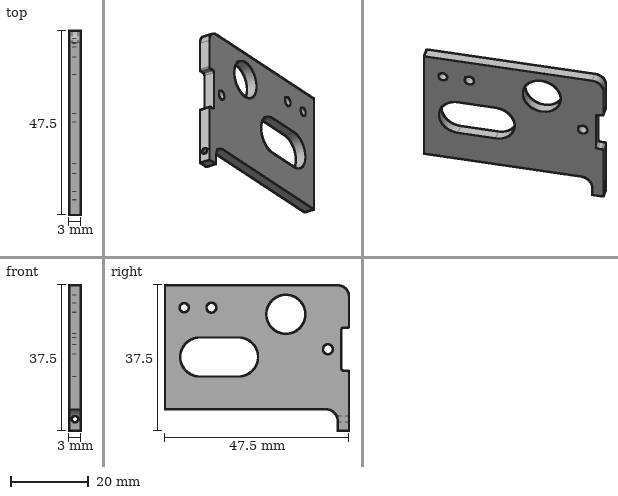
import cadquery as cq

thickness = 3.0
length = 47.5
height = 37.5

leg_width = 3.0
leg_drop = 5.5
leg_fillet = 3.0
leg_hole_diameter = 1.6
leg_hole_height = 3.0

top_corner_radius = 3.0

notch_depth = 2.0
notch_bottom = 15.5
notch_height = 11.0
notch_radius = 0.5

opening_diameter = 10.0
window_setback = 16.33
window_height = 30.0
slot_length = 20.0
slot_setback = 33.5
slot_height = 19.0

small_holes = [
    (5.5, 21.0, 2.5),
    (35.5, 31.7, 2.5),
    (42.5, 31.7, 2.3),
]

edge_y = length / 2


def side_plane():
    """Sketch plane on the -X face: local x is +Y, local y is +Z."""
    return cq.Workplane("YZ")


def block(setback, bottom, width, block_height):
    """Full-thickness block running from the setback toward -Y, and up from the bottom."""
    return (
        side_plane()
        .moveTo(edge_y - setback, bottom)
        .rect(-width, block_height, centered=False)
        .extrude(thickness)
    )


def round_edge(body, setback, edge_height, radius):
    """Fillet the X-parallel edge at the given setback and height."""
    near_edge = cq.selectors.NearestToPointSelector((thickness / 2, edge_y - setback, edge_height))
    return body.edges("|X").edges(near_edge).fillet(radius)


def make_plate():
    """Plate with its leg, edge notch and rounded corners."""
    body = block(0, leg_drop, length, height - leg_drop)
    body = body.union(block(0, 0, leg_width, height))
    body = body.cut(block(0, notch_bottom, notch_depth, notch_height))
    body = round_edge(body, 0, height, top_corner_radius)
    body = round_edge(body, leg_width, leg_drop, leg_fillet)
    for level in (notch_bottom, notch_bottom + notch_height):
        body = round_edge(body, notch_depth, level, notch_radius)
        body = round_edge(body, 0, level, notch_radius)
    return body


def round_cutter(setback, center_height, diameter):
    """Cylinder through the plate thickness."""
    return (
        side_plane()
        .center(edge_y - setback, center_height)
        .circle(diameter / 2)
        .extrude(thickness)
    )


def slot_cutter():
    """Round-ended slot running along Y."""
    return (
        side_plane()
        .center(edge_y - slot_setback, slot_height)
        .slot2D(slot_length, opening_diameter)
        .extrude(thickness)
    )


def leg_hole_cutter():
    """Cylinder along Y through the leg, centered in the thickness."""
    hole_length = leg_width + leg_fillet
    return (
        cq.Workplane("XZ", origin=(0, edge_y, 0))
        .center(thickness / 2, leg_hole_height)
        .circle(leg_hole_diameter / 2)
        .extrude(hole_length)
    )


result = make_plate()
result = result.cut(round_cutter(window_setback, window_height, opening_diameter))
result = result.cut(slot_cutter())
for hole_setback, hole_height, hole_diameter in small_holes:
    result = result.cut(round_cutter(hole_setback, hole_height, hole_diameter))
result = result.cut(leg_hole_cutter())